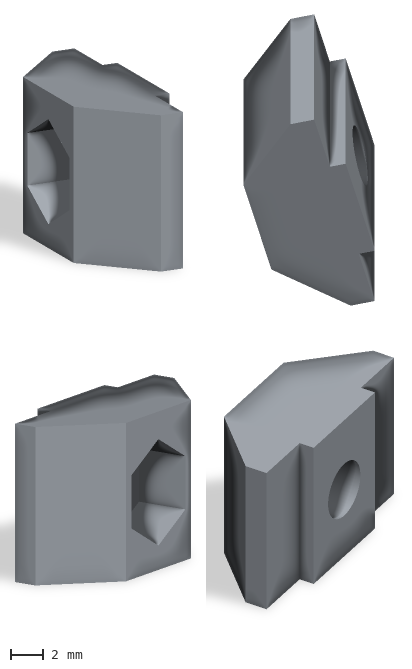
import cadquery as cq
import math

length = 15.0
depth = 6.5
height = 10.0

tab_width = 7.2
tab_thickness = 1.0
flange_thickness = 1.5
front_width = 7.0

hole_diameter = 3.8
hex_across_flats = 5.82
hex_depth = 3.45
hole_drop = 0.1

front_y = -depth / 2
back_y = depth / 2
shoulder_y = back_y - tab_thickness
bevel_top_y = shoulder_y - flange_thickness
hole_z = -hole_drop


def make_body():
    """Extrude the symmetric T-nut section along Z."""
    half_section = [
        (0, front_y),
        (front_width / 2, front_y),
        (length / 2, bevel_top_y),
        (length / 2, shoulder_y),
        (tab_width / 2, shoulder_y),
        (tab_width / 2, back_y),
        (0, back_y),
    ]
    section = cq.Workplane("XY").workplane(offset=-height / 2).polyline(half_section)
    return section.mirrorY().extrude(height)


def front_plane():
    """Plane on the front face, centred on the hole, with its normal along -Y."""
    return cq.Workplane("XZ", origin=(0, front_y, hole_z))


def make_hole():
    return front_plane().circle(hole_diameter / 2).extrude(-depth)


def make_hex_pocket():
    """Hexagonal pocket with two corners pointing up and down."""
    across_corners = hex_across_flats / math.cos(math.pi / 6)
    quarter_turn = 90
    hexagon = front_plane().transformed(rotate=(0, 0, quarter_turn)).polygon(6, across_corners)
    return hexagon.extrude(-hex_depth)


result = make_body().cut(make_hole()).cut(make_hex_pocket())